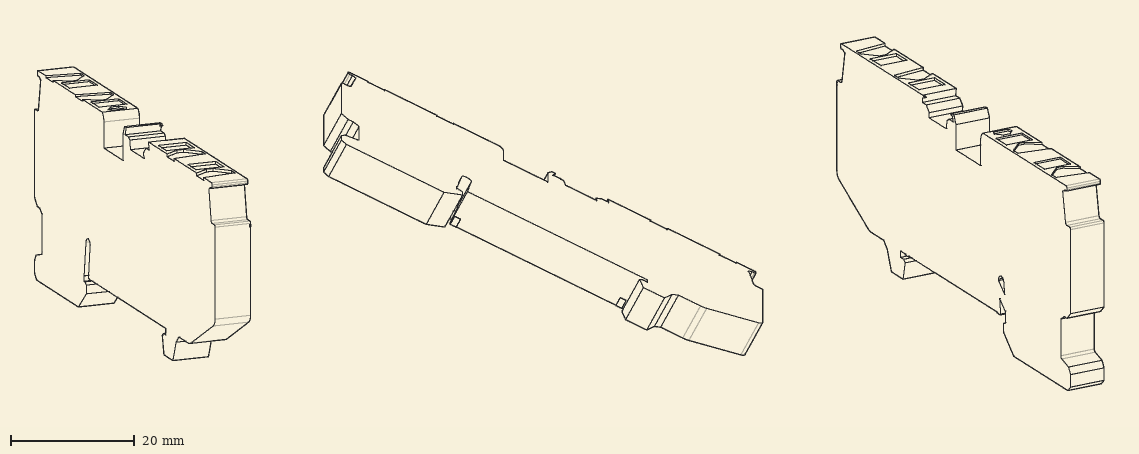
import cadquery as cq

length = 77.0
width = 6.2
height = 35.3
nub_overhang = 0.15
body_length = length - nub_overhang
mid_x = body_length / 2

base_z = 5.85
shoulder_z = 28.5
ledge_z = 33.95

overhang_tip_x = 1.2
overhang_root_x = 2.0
overhang_tip_z = 34.35
overhang_round = 0.3
notch_inner_x = 2.6
notch_foot_x = 1.6
notch_foot_round = 0.5
shoulder_round = 0.3

slope_start_x = 66.1
slope_end_z = 11.85
slope_start_round = 2.3
slope_end_round = 1.55

waist_x = 3.2
waist_top_z = 13.6
waist_bottom_z = 3.1
waist_round = 0.5
waist_bevel = 1.2
waist_roof_x = 2.15
waist_roof_drop = 0.8
waist_lip_x = 0.7
waist_lip_rise = 1.1
waist_floor_rise = 0.8

left_foot_chamfer = 0.9
left_foot_sole_x = 18.7
left_foot_tip_x = 22.1
left_foot_tip_z = 3.1
left_foot_top_z = 4.55

slot_bottom_left_x = 21.0
slot_bottom_right_x = 22.9
slot_bottom_z = 4.9
slot_top_left_x = 21.95
slot_top_right_x = 23.7
slot_top_z = 11.7
slot_crown_x = 22.8
slot_crown_z = 12.5

web_left_x = 21.2
web_right_x = 23.9
web_right_z = 11.6
web_slant = 2.3
web_height = 2.7
web_thickness = 1.55

strip_edge_x = 21.5
strip_top_z = 7.2
strip_root = 0.1

hook_neck_x = 55.8
hook_tip_x = 54.4
hook_top_z = 4.8
hook_sole_z = 1.2
hook_sole_x = 55.05
hook_sole_length = 3.85
hook_back_x = 60.3
hook_bevel = 0.5
hook_blend = 1.15

groove_left_x = 29.6
groove_right_x = 37.65
groove_floor_z = 29.4
groove_lead_in = 0.7
groove_lead_in_height = 1.5
groove_rim_radius = (groove_lead_in**2 + groove_lead_in_height**2) / (2 * groove_lead_in)

recess_left_x = 40.9
recess_right_x = 46.6
recess_floor_z = 32.0
recess_shelf_left_x = 38.6
recess_shelf_right_x = 48.75
recess_step = 0.85
left_wall_top_inset = 0.3
left_wall_top_drop = 0.4
right_wall_top_inset = 0.15
right_wall_top_drop = 1.0
barb_left_x = 39.4
barb_right_x = 47.9
barb_z = 35.0
barb_height = 0.55
barb_depth = 0.3
rim_left_x = 39.05
rim_right_x = 48.6

pocket_pitch = 12.55
left_pocket_depth = 0.3
right_pocket_depth = 0.5
screw_x = 9.8
screw_length = 3.5
screw_y = 0.7
screw_width = 4.85
wire_tip_x = 9.4
wire_tip_y = 2.4
wire_tip_width = 1.15
wire_back_y = 5.8
wire_back_left_x = 5.6
wire_back_right_x = 7.1
wire_front_left_x = 4.85
wire_front_right_x = 7.85

test_tip_x = 26.5
test_peak_x = 27.65
test_flat_x = 28.4
test_mid_y = 3.15
test_tip_half_width = 0.6
test_peak_half_width = 1.6
test_flat_half_width = 1.3

bead_starts_x = (23.1, 53.3)
bead_length = 1.1
bead_drop = 0.15
bead_depth = 1.55
nub_z = 27.8
nub_size = 0.2


def prism(points, y_start=0.0, depth=width):
    """Extrude a closed XZ outline towards +Y."""
    plane = cq.Workplane("XZ", origin=(0, y_start, 0))
    return plane.polyline(points).close().extrude(-depth)


def round_corner(body, x, z, radius):
    """Round the full-width edge that passes through (x, z)."""
    edge = cq.selectors.NearestToPointSelector((x, width / 2, z))
    return body.edges(edge).fillet(radius)


def mirror_end(shape):
    """Copy a -X end feature to the +X end."""
    return shape.mirror("YZ", (mid_x, 0, 0))


def main_plate():
    plate = prism([
        (0, base_z),
        (slope_start_x, base_z),
        (body_length, slope_end_z),
        (body_length, height),
        (0, height),
    ])
    plate = round_corner(plate, slope_start_x, base_z, slope_start_round)
    return round_corner(plate, body_length, slope_end_z, slope_end_round)


def left_foot():
    return prism([
        (0, left_foot_chamfer),
        (left_foot_chamfer, 0),
        (left_foot_sole_x, 0),
        (left_foot_tip_x, left_foot_tip_z),
        (left_foot_tip_x, left_foot_top_z),
        (strip_edge_x, slot_bottom_z),
        (slot_bottom_left_x, slot_bottom_z),
        (slot_bottom_left_x, base_z),
        (0, base_z),
    ])


def right_foot():
    return prism([
        (hook_neck_x, base_z),
        (hook_neck_x, hook_top_z),
        (hook_tip_x + hook_bevel, hook_top_z),
        (hook_tip_x, hook_top_z - hook_bevel),
        (hook_sole_x, hook_sole_z),
        (hook_sole_x + hook_sole_length, hook_sole_z),
        (hook_back_x, base_z - hook_blend),
        (hook_back_x + hook_blend, base_z),
    ])


def waist_cut():
    roof_z = waist_top_z - waist_bevel
    lip_z = waist_bottom_z + waist_lip_rise
    corner_z = lip_z + waist_floor_rise
    recess = prism([
        (0, waist_top_z),
        (waist_bevel, roof_z),
        (waist_roof_x, roof_z),
        (waist_x, roof_z - waist_roof_drop),
        (waist_x, corner_z),
        (waist_lip_x, lip_z),
        (0, waist_bottom_z),
    ])
    return round_corner(recess, waist_x, corner_z, waist_round)


def end_notch():
    notch = prism([
        (0, shoulder_z),
        (notch_foot_x, shoulder_z),
        (notch_inner_x, ledge_z),
        (overhang_root_x, overhang_tip_z),
        (overhang_tip_x, overhang_tip_z),
        (overhang_tip_x, height),
        (0, height),
    ])
    return round_corner(notch, notch_foot_x, shoulder_z, notch_foot_round)


def spring_slot():
    outline = (
        cq.Workplane("XZ")
        .moveTo(slot_bottom_left_x, slot_bottom_z)
        .lineTo(slot_top_left_x, slot_top_z)
        .threePointArc((slot_crown_x, slot_crown_z), (slot_top_right_x, slot_top_z))
        .lineTo(slot_bottom_right_x, slot_bottom_z)
        .close()
    )
    return outline.extrude(-width)


def slot_web():
    left_z = web_right_z - web_slant
    return prism([
        (web_left_x, left_z),
        (web_right_x, web_right_z),
        (web_right_x, web_right_z - web_height),
        (web_left_x, left_z - web_height),
    ], width - web_thickness, web_thickness)


def slot_strip():
    return prism([
        (slot_bottom_left_x - strip_root, slot_bottom_z),
        (strip_edge_x, slot_bottom_z),
        (strip_edge_x, strip_top_z),
        (slot_bottom_left_x - strip_root, strip_top_z),
    ], width - web_thickness, web_thickness)


def marker_groove():
    """Groove whose left rim flows into its wall and whose right rim is bevelled."""
    lead_in_z = height - groove_lead_in_height
    outline = (
        cq.Workplane("XZ")
        .moveTo(groove_left_x, groove_floor_z)
        .lineTo(groove_right_x, groove_floor_z)
        .lineTo(groove_right_x, lead_in_z)
        .lineTo(groove_right_x + groove_lead_in, height)
        .lineTo(groove_left_x - groove_lead_in, height)
        .radiusArc((groove_left_x, lead_in_z), groove_rim_radius)
        .close()
    )
    return outline.extrude(-width)


def centre_recess():
    return prism([
        (rim_left_x, height),
        (recess_shelf_left_x, ledge_z),
        (recess_left_x - recess_step, ledge_z),
        (recess_left_x - left_wall_top_inset, ledge_z - left_wall_top_drop),
        (recess_left_x, recess_floor_z),
        (recess_right_x, recess_floor_z),
        (recess_right_x - right_wall_top_inset, ledge_z - right_wall_top_drop),
        (recess_right_x + recess_step, ledge_z),
        (recess_shelf_right_x, ledge_z),
        (rim_right_x, height),
    ])


def rim_barb(rim_x, tip_x, shelf_x):
    """Pointed barb that hangs over the recess from one rim."""
    return prism([
        (shelf_x, height - barb_height),
        (rim_x, height),
        (tip_x, barb_z),
    ], width - barb_depth, barb_depth)


def top_pocket(points, depth):
    """Cutter that sinks a closed XY outline into the top face."""
    return cq.Workplane("XY", origin=(0, 0, height)).polyline(points).close().extrude(-depth)


def screw_pocket(offset, depth):
    near_x = screw_x + offset
    far_x = near_x + screw_length
    far_y = screw_y + screw_width
    return top_pocket([(near_x, screw_y), (far_x, screw_y), (far_x, far_y), (near_x, far_y)], depth)


def wire_pocket(offset, depth):
    """Arrow-shaped pocket that opens through the y = 0 face."""
    return top_pocket([
        (wire_front_left_x + offset, 0),
        (wire_front_right_x + offset, 0),
        (wire_tip_x + offset, wire_tip_y),
        (wire_tip_x + offset, wire_tip_y + wire_tip_width),
        (wire_back_right_x + offset, wire_back_y),
        (wire_back_left_x + offset, wire_back_y),
    ], depth)


def test_pocket():
    return top_pocket([
        (test_tip_x, test_mid_y - test_tip_half_width),
        (test_peak_x, test_mid_y - test_peak_half_width),
        (test_flat_x, test_mid_y - test_flat_half_width),
        (test_flat_x, test_mid_y + test_flat_half_width),
        (test_peak_x, test_mid_y + test_peak_half_width),
        (test_tip_x, test_mid_y + test_tip_half_width),
    ], left_pocket_depth)


def base_bead(start_x):
    size = (bead_length, bead_depth, bead_drop)
    corner = (start_x, width - bead_depth, base_z - bead_drop)
    return cq.Workplane("XY").box(*size, centered=False).translate(corner)


def snap_nub():
    """Small pointed nub on the +X end face, at the y = width edge."""
    return prism([
        (body_length - nub_size, nub_z - nub_size),
        (body_length, nub_z - nub_size),
        (length, nub_z),
        (body_length, nub_z + nub_size),
        (body_length - nub_size, nub_z + nub_size),
    ], width - nub_size, nub_size)


body = main_plate().union(left_foot()).union(right_foot())

body = body.cut(waist_cut()).cut(end_notch()).cut(mirror_end(end_notch()))
for tip_x, shoulder_x in ((overhang_tip_x, 0), (body_length - overhang_tip_x, body_length)):
    body = round_corner(body, tip_x, height, overhang_round)
    body = round_corner(body, tip_x, overhang_tip_z, overhang_round)
    body = round_corner(body, shoulder_x, shoulder_z, shoulder_round)

body = body.cut(spring_slot()).union(slot_web()).union(slot_strip())
body = body.cut(marker_groove()).cut(centre_recess())
body = body.union(rim_barb(rim_left_x, barb_left_x, recess_shelf_left_x))
body = body.union(rim_barb(rim_right_x, barb_right_x, recess_shelf_right_x))

for offset in (0, pocket_pitch):
    for pocket in (screw_pocket, wire_pocket):
        body = body.cut(pocket(offset, left_pocket_depth))
        body = body.cut(mirror_end(pocket(offset, right_pocket_depth)))
body = body.cut(test_pocket())

for start_x in bead_starts_x:
    body = body.union(base_bead(start_x))
result = body.union(snap_nub())